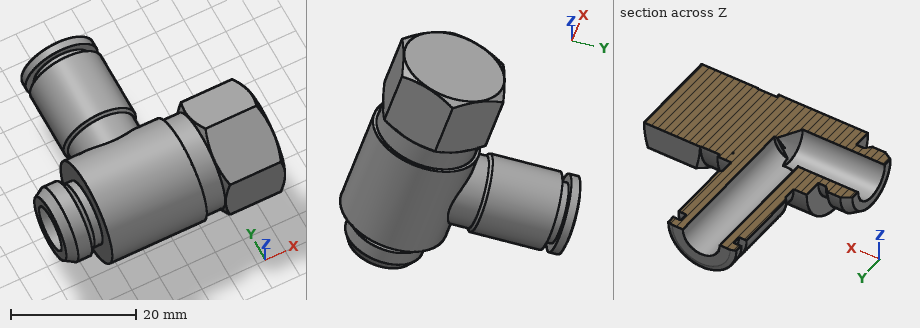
import cadquery as cq
import math

thread_diameter = 13.16
thread_neck_diameter = 11.2
lead_in_length = 1.65
thread_end = 4.1
body_diameter = 18.0
body_start = 6.5
body_length = 17.0
collar_diameter = 16.8
nut_start = 27.1
overall_length = 37.9
body_end = body_start + body_length

nut_across_flats = 17.0
nut_sides = 6
nut_across_corners = nut_across_flats / math.cos(math.pi / nut_sides)
nut_chamfer_angle = 30.0
nut_face_diameter = collar_diameter

branch_x = body_start + body_length / 2
branch_neck_diameter = 12.0
branch_diameter = 13.0
branch_start = 11.3
branch_end = 23.5
cap_groove_diameter = 10.1
cap_start = 25.0
cap_end = 26.8
cap_chamfer_height = 0.3
cap_face_diameter = 11.0

inlet_bore_diameter = 7.8
inlet_tip_x = 18.0
inlet_cone_angle = 118.0
branch_bore_diameter = 7.0


def revolve_along_x(profile):
    """Turn (x, radius) points around the X axis."""
    points = [(profile[0][0], 0)] + profile + [(profile[-1][0], 0)]
    return cq.Workplane("XY").polyline(points).close().revolve(360, (0, 0, 0), (1, 0, 0))


def revolve_branch(profile):
    """Turn (radius, y) points around the branch axis."""
    points = [(0, profile[0][1])] + profile + [(0, profile[-1][1])]
    turned = cq.Workplane("XY").polyline(points).close().revolve(360, (0, 0, 0), (0, 1, 0))
    return turned.translate((branch_x, 0, 0))


def make_main_body():
    thread_radius = thread_diameter / 2
    neck_radius = thread_neck_diameter / 2
    body_radius = body_diameter / 2
    collar_radius = collar_diameter / 2
    thread_depth = thread_radius - neck_radius
    return revolve_along_x([
        (0, neck_radius),
        (lead_in_length, thread_radius),
        (thread_end, thread_radius),
        (thread_end + thread_depth, neck_radius),
        (body_start, neck_radius),
        (body_start, body_radius),
        (body_end, body_radius),
        (body_end, collar_radius),
        (nut_start, collar_radius),
    ])


def make_nut():
    nut_length = overall_length - nut_start
    hexagon = (
        cq.Workplane("YZ")
        .workplane(offset=nut_start)
        .transformed(rotate=(0, 0, 90))
        .polygon(nut_sides, nut_across_corners)
        .extrude(nut_length)
    )
    corner_radius = nut_across_corners / 2
    face_radius = nut_face_diameter / 2
    chamfer_length = (corner_radius - face_radius) * math.tan(math.radians(nut_chamfer_angle))
    chamfer_envelope = revolve_along_x([
        (nut_start, face_radius),
        (nut_start + chamfer_length, corner_radius),
        (overall_length - chamfer_length, corner_radius),
        (overall_length, face_radius),
    ])
    return hexagon.intersect(chamfer_envelope)


def make_branch():
    neck_radius = branch_neck_diameter / 2
    branch_radius = branch_diameter / 2
    groove_radius = cap_groove_diameter / 2
    shoulder_chamfer = branch_radius - neck_radius
    return revolve_branch([
        (neck_radius, 0),
        (neck_radius, branch_start),
        (branch_radius, branch_start + shoulder_chamfer),
        (branch_radius, branch_end),
        (groove_radius, branch_end),
        (groove_radius, cap_start),
        (branch_radius, cap_start),
        (branch_radius, cap_end - cap_chamfer_height),
        (cap_face_diameter / 2, cap_end),
    ])


def make_inlet_bore():
    """Blind drilled bore with a conical end; the tip lies within the span of the branch bore."""
    bore_radius = inlet_bore_diameter / 2
    cone_length = bore_radius / math.tan(math.radians(inlet_cone_angle / 2))
    profile = [(0, 0), (0, bore_radius), (inlet_tip_x - cone_length, bore_radius), (inlet_tip_x, 0)]
    return cq.Workplane("XY").polyline(profile).close().revolve(360, (0, 0, 0), (1, 0, 0))


def make_branch_bore():
    """Flat-bottomed bore from the branch mouth down to the main axis."""
    bore_radius = branch_bore_diameter / 2
    return revolve_branch([(bore_radius, 0), (bore_radius, cap_end)])


result = (
    make_main_body()
    .union(make_nut())
    .union(make_branch())
    .cut(make_inlet_bore())
    .cut(make_branch_bore())
)